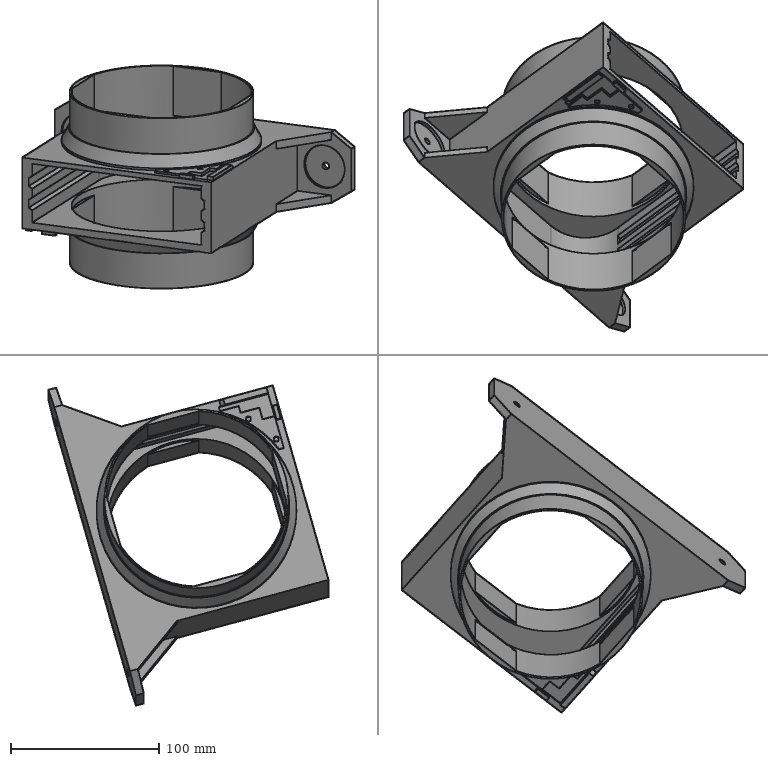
import cadquery as cq
import math

total_height = 120.0
half_height = total_height / 2
body_width = 140.0
body_depth = 146.0
body_height = 50.0
front_y = -body_depth / 2
back_y = body_depth / 2
top_z = body_height / 2
overlap = 1.0

tube_radius = 62.0
bore_radius = 60.7
bore_flat_width = 116.0
collar_radius = 67.5
collar_top_radius = 62.7
collar_rim_top = 26.5
collar_top = 35.0

cavity_width = 125.4
cavity_bottom = -20.0
cavity_top = 21.5
cavity_corner_radius = 32.0
plate_thickness = 5.5
cavity_back = back_y - plate_thickness
cavity_middle = (cavity_bottom + cavity_top) / 2

groove_depth = 2.3
groove_mouth = 9.0
groove_floor = 5.6
groove_pitch = 15.2
groove_back = cavity_back - cavity_corner_radius

plate_width = 220.0
plate_end_height = 30.0
plate_corner_length = 15.0
shoulder = plate_width / 2 - plate_corner_length
gusset_thickness = 5.5
gusset_front = 33.0
screw_spacing = 180.0
screw_diameter = 4.8
recess_diameter = 30.0
recess_depth = 2.0

seat_height = 1.4
seat_arc_radius = 70.0
seat_left = 26.0
seat_front = -68.4
seat_back = -33.8
seat_steps_x = (48.9, 57.3, 62.1)
seat_steps_y = (-60.0, -46.9)
pocket_depth = 0.8
seat_hole_diameter = 3.4
seat_hole_depth = 2.0
seat_hole_centers = ((33.3, -65.1), (51.7, -50.8))
latch_height = 2.5
latch_x = (46.1, 55.9)
latch_y = (-71.9, -69.0)
rail_x = (65.2, 69.4)
rail_back = -35.2
rail_ramp_length = 2.9


def block(x_range, y_range, z_range):
    """Axis-aligned box between the given limits."""
    size = [limits[1] - limits[0] for limits in (x_range, y_range, z_range)]
    corner = (x_range[0], y_range[0], z_range[0])
    return cq.Workplane("XY").box(*size, centered=False).translate(corner)


def turned_over(shape):
    """Half turn about Y, which carries a top detail to the underside."""
    return shape.rotate((0, 0, 0), (0, 1, 0), 180)


def make_housing():
    return cq.Workplane("XY").box(body_width, body_depth, body_height)


def make_mounting_plate():
    half_width = plate_width / 2
    end_z = plate_end_height / 2
    outline = [
        (-half_width, -end_z),
        (-shoulder, -top_z),
        (shoulder, -top_z),
        (half_width, -end_z),
        (half_width, end_z),
        (shoulder, top_z),
        (-shoulder, top_z),
        (-half_width, end_z),
    ]
    plane = cq.Workplane("XZ", origin=(0, back_y, 0))
    return plane.polyline(outline).close().extrude(plate_thickness)


def make_gussets(bottom_z):
    """One flat web that fills the corners between the plate and both body sides."""
    outline = [
        (-shoulder, back_y),
        (-shoulder, cavity_back),
        (-body_width / 2, gusset_front),
        (body_width / 2, gusset_front),
        (shoulder, cavity_back),
        (shoulder, back_y),
    ]
    return cq.Workplane("XY", origin=(0, 0, bottom_z)).polyline(outline).close().extrude(gusset_thickness)


def make_upper_tube():
    profile = [
        (0, 0),
        (collar_radius, 0),
        (collar_radius, collar_rim_top),
        (collar_top_radius, collar_top),
        (tube_radius, collar_top),
        (tube_radius, half_height),
        (0, half_height),
    ]
    return cq.Workplane("XZ").polyline(profile).close().revolve(360, (0, 0, 0), (0, 1, 0))


def make_bore():
    cylinder = cq.Workplane("XY").circle(bore_radius).extrude(half_height, both=True)
    flats = cq.Workplane("XY").box(bore_flat_width, bore_flat_width, total_height)
    round_stretch = cq.Workplane("XY").circle(bore_radius).extrude(top_z, both=True)
    return cylinder.intersect(flats).union(round_stretch)


def make_cavity():
    half_width = cavity_width / 2
    cavity = block((-half_width, half_width), (front_y, cavity_back), (cavity_bottom, cavity_top))
    return cavity.edges("|Z and >Y").fillet(cavity_corner_radius)


def make_grooves(middle_z):
    """Matching trapezoidal grooves in both side walls of the cavity."""
    wall = cavity_width / 2
    floor = wall + groove_depth
    profile = [
        (-wall, middle_z - groove_mouth / 2),
        (wall, middle_z - groove_mouth / 2),
        (floor, middle_z - groove_floor / 2),
        (floor, middle_z + groove_floor / 2),
        (wall, middle_z + groove_mouth / 2),
        (-wall, middle_z + groove_mouth / 2),
        (-floor, middle_z + groove_floor / 2),
        (-floor, middle_z - groove_floor / 2),
    ]
    plane = cq.Workplane("XZ", origin=(0, front_y, 0))
    return plane.polyline(profile).close().extrude(front_y - groove_back)


def make_screw_holes():
    centers = [(-screw_spacing / 2, 0), (screw_spacing / 2, 0)]
    holes = cq.Workplane("XZ", origin=(0, back_y, 0)).pushPoints(centers)
    holes = holes.circle(screw_diameter / 2).extrude(plate_thickness)
    recesses = cq.Workplane("XZ", origin=(0, cavity_back + recess_depth, 0)).pushPoints(centers)
    return holes.union(recesses.circle(recess_diameter / 2).extrude(recess_depth))


def seat_arc_offset(offset):
    """Distance from the duct axis along X (or Y) of an arc point that lies this far along Y (or X)."""
    return math.sqrt(seat_arc_radius ** 2 - offset ** 2)


def make_seat():
    """Raised pad with a curved side beside the collar and a stepped side beside the pocket."""
    x1, x2, x3 = seat_steps_x
    y1, y2 = seat_steps_y
    diagonal = seat_arc_radius * math.sqrt(0.5)
    arc_start = (seat_left, -seat_arc_offset(seat_left))
    arc_middle = (diagonal, -diagonal)
    arc_end = (seat_arc_offset(seat_back), seat_back)
    outline = cq.Workplane("XY", origin=(0, 0, top_z - overlap))
    outline = outline.moveTo(*arc_start)
    outline = outline.threePointArc(arc_middle, arc_end)
    steps = [(x3, seat_back), (x3, y2), (x2, y2), (x2, y1), (x1, y1), (x1, seat_front)]
    front_corner = (seat_left, seat_front)
    for corner in steps + [front_corner]:
        outline = outline.lineTo(*corner)
    return outline.close().extrude(overlap + seat_height)


def make_seat_pocket():
    """Shallow pocket between the stepped side of the seat and the rail."""
    x1, x2, x3 = seat_steps_x
    y1, y2 = seat_steps_y
    outline = [
        (x1, seat_front),
        (rail_x[0], seat_front),
        (rail_x[0], seat_back),
        (x3, seat_back),
        (x3, y2),
        (x2, y2),
        (x2, y1),
        (x1, y1),
    ]
    plane = cq.Workplane("XY", origin=(0, 0, top_z - pocket_depth))
    return plane.polyline(outline).close().extrude(pocket_depth)


def make_seat_holes():
    plane = cq.Workplane("XY", origin=(0, 0, top_z + seat_height)).pushPoints(seat_hole_centers)
    return plane.circle(seat_hole_diameter / 2).extrude(-seat_hole_depth)


def make_latch():
    return block(latch_x, latch_y, (top_z - overlap, top_z + latch_height))


def make_rail():
    """Bar along the side edge, with a ramp at its back end."""
    profile = [
        (seat_front, top_z - overlap),
        (rail_back, top_z - overlap),
        (rail_back, top_z),
        (rail_back - rail_ramp_length, top_z + latch_height),
        (seat_front, top_z + latch_height),
    ]
    plane = cq.Workplane("YZ", origin=(rail_x[0], 0, 0))
    return plane.polyline(profile).close().extrude(rail_x[1] - rail_x[0])


upper_tube = make_upper_tube()
result = make_housing().union(make_mounting_plate())
for gusset_z in (-top_z, top_z - gusset_thickness):
    result = result.union(make_gussets(gusset_z))
result = result.union(upper_tube).union(turned_over(upper_tube))

result = result.cut(make_cavity()).cut(make_bore()).cut(make_screw_holes())
for side in (-1, 1):
    result = result.cut(make_grooves(cavity_middle + side * groove_pitch / 2))

for raised in (make_seat(), make_latch(), make_rail()):
    result = result.union(raised).union(turned_over(raised))
for sunk in (make_seat_pocket(), make_seat_holes()):
    result = result.cut(sunk).cut(turned_over(sunk))